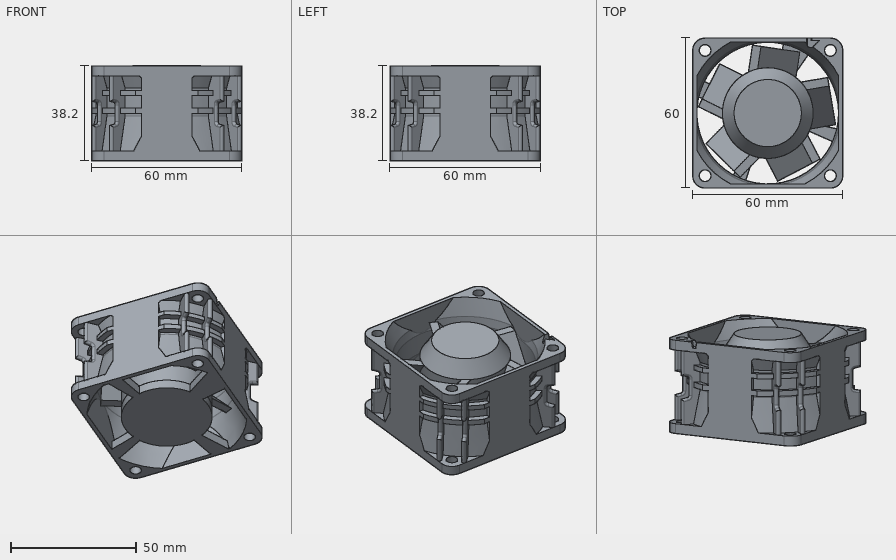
import cadquery as cq
import math

SIDE = 60.0
FRAME_HEIGHT = 38.0
CORNER_RADIUS = 5.0
FLANGE_THICKNESS = 4.0
BOLT_HOLE_DIAMETER = 4.55
HALF_SIDE = SIDE / 2
BOLT_OFFSET = HALF_SIDE - CORNER_RADIUS
LOWER_FLANGE_TOP = FLANGE_THICKNESS
UPPER_FLANGE_BOTTOM = FRAME_HEIGHT - FLANGE_THICKNESS

POCKET_START = 10.0
DUCT_RADIUS = 30.05
DUCT_LOWER_FLARE_START = 17.95
DUCT_UPPER_FLARE_START = 29.05
DUCT_LOWER_FLARE_RADIUS = 32.75
DUCT_UPPER_FLARE_RADIUS = 32.0
RING_RADIUS = 32.5
RINGS = [(18.9, 2.2), (26.05, 2.0)]

BORE_RADIUS = 28.25
INLET_RADIUS = 32.0
INLET_THROAT_RADIUS = 29.05
INLET_THROAT_HEIGHT = 30.7
BORE_TOP = 27.0
BORE_BOTTOM = DUCT_LOWER_FLARE_START
BORE_HALF_WIDTH = 28.3

FIN_THICKNESS = 2.0
FIN_OFFSET = 5.0
FIN_ROOT = 29.2
FIN_EDGE_RADIUS = FIN_THICKNESS / 2
FIN_TIP = (HALF_SIDE - FIN_EDGE_RADIUS) * math.sqrt(2) - FIN_OFFSET
NOTCH_DEPTH = 3.25
NOTCH_FLOOR_LENGTH = 6.65
NOTCH_RADIUS = FIN_EDGE_RADIUS
NOTCH_SLOPE = 12.0

SLOT_DEPTH = 2.4
SLOT_LEFT = 15.4
SLOT_RIGHT = 17.75
SLOT_TAPER = 0.5
SLOT_LIP = 0.95
SLOT_POCKET_WIDTH = 2.9

STRUT_THICKNESS = FLANGE_THICKNESS
STRUT_ANGLES = [(55.2, 77.2), (153.4, 167.2), (241.0, 252.0), (336.2, 347.2)]

HUB_TOP = 38.15
HUB_CAP_RADIUS = 13.45
HUB_RADIUS = 18.1
HUB_SHOULDER = 31.15
HUB_BOTTOM = STRUT_THICKNESS
BLADE_COUNT = 5
BLADE_FIRST_ANGLE = 9.5
BLADE_TIP = 26.0
BLADE_ROOT = 14.4
BLADE_TOP_BACK = 10.1
BLADE_BOTTOM_FRONT = -9.05
BLADE_WIDTH = 3.5
BLADE_BOTTOM = 12.3


def revolved(profile):
    """Solid of revolution about Z of a closed (radius, height) polygon."""
    return cq.Workplane("XZ").polyline(profile).close().revolve(360, (0, 0), (0, 1))


def square_prism(bottom, top):
    return (
        cq.Workplane("XY").workplane(offset=bottom).rect(SIDE, SIDE).extrude(top - bottom)
        .edges("|Z").fillet(CORNER_RADIUS)
    )


def duct_wall():
    return revolved([
        (0, LOWER_FLANGE_TOP),
        (DUCT_LOWER_FLARE_RADIUS, LOWER_FLANGE_TOP),
        (DUCT_RADIUS, DUCT_LOWER_FLARE_START),
        (DUCT_RADIUS, DUCT_UPPER_FLARE_START),
        (DUCT_UPPER_FLARE_RADIUS, UPPER_FLANGE_BOTTOM),
        (0, UPPER_FLANGE_BOTTOM),
    ])


def bore():
    flare = revolved([
        (0, 0),
        (INLET_RADIUS, 0),
        (BORE_RADIUS, BORE_BOTTOM),
        (BORE_RADIUS, BORE_TOP),
        (INLET_THROAT_RADIUS, INLET_THROAT_HEIGHT),
        (INLET_RADIUS, FRAME_HEIGHT),
        (0, FRAME_HEIGHT),
    ])
    limits = cq.Workplane("XY").box(2 * BORE_HALF_WIDTH, 2 * BORE_HALF_WIDTH, FRAME_HEIGHT,
                                    centered=(True, True, False))
    return flare.intersect(limits)


def corner_pockets():
    width = HALF_SIDE - POCKET_START
    centre = POCKET_START + width / 2
    return (
        cq.Workplane("XY").workplane(offset=LOWER_FLANGE_TOP)
        .rect(2 * centre, 2 * centre, forConstruction=True).vertices()
        .rect(width, width).extrude(UPPER_FLANGE_BOTTOM - LOWER_FLANGE_TOP)
        .cut(duct_wall())
    )


def rings():
    """Discs that leave ring ribs around the duct once the bore is cut."""
    block = square_prism(0, FRAME_HEIGHT)
    discs = []
    for bottom, thickness in RINGS:
        disc = cq.Workplane("XY").workplane(offset=bottom).circle(RING_RADIUS).extrude(thickness)
        discs.append(disc.intersect(block))
    return discs


def rounded_plate():
    """Plain fin in the XZ plane, reaching along +X to a fully rounded tip."""
    height = UPPER_FLANGE_BOTTOM - LOWER_FLANGE_TOP
    return (
        cq.Workplane("XY").workplane(offset=LOWER_FLANGE_TOP)
        .moveTo(FIN_ROOT, -FIN_EDGE_RADIUS).lineTo(FIN_TIP, -FIN_EDGE_RADIUS)
        .threePointArc((FIN_TIP + FIN_EDGE_RADIUS, 0), (FIN_TIP, FIN_EDGE_RADIUS))
        .lineTo(FIN_ROOT, FIN_EDGE_RADIUS).close().extrude(height)
    )


def notched_plate():
    """Plate in the XZ plane, longer than the fin, with a fully rounded edge all along its notch."""
    bend = NOTCH_RADIUS + FIN_EDGE_RADIUS
    slope = math.radians(NOTCH_SLOPE)
    floor = FIN_TIP - NOTCH_DEPTH
    end = FIN_TIP + NOTCH_DEPTH
    half_floor = NOTCH_FLOOR_LENGTH / 2
    middle = FRAME_HEIGHT / 2

    def bend_point(turn):
        """Distance from Z and from mid-height after turning off the floor by this angle."""
        return floor + bend * (1 - math.cos(turn)), half_floor + bend * math.sin(turn)

    full_turn = math.pi / 2 - slope
    bend_middle, bend_middle_rise = bend_point(full_turn / 2)
    bend_end, bend_end_rise = bend_point(full_turn)
    end_rise = bend_end_rise + (end - bend_end) * math.tan(slope)

    def along_notch(start):
        """Continue a path along the axis of the round edge, from its lower outer end to its upper one."""
        return (
            start.lineTo(bend_end, middle - bend_end_rise)
            .threePointArc((bend_middle, middle - bend_middle_rise), (floor, middle - half_floor))
            .lineTo(floor, middle + half_floor)
            .threePointArc((bend_middle, middle + bend_middle_rise), (bend_end, middle + bend_end_rise))
            .lineTo(end, middle + end_rise)
        )

    plate = (
        along_notch(cq.Workplane("XZ").moveTo(end, middle - end_rise))
        .lineTo(end, UPPER_FLANGE_BOTTOM).lineTo(FIN_ROOT, UPPER_FLANGE_BOTTOM)
        .lineTo(FIN_ROOT, LOWER_FLANGE_TOP).lineTo(end, LOWER_FLANGE_TOP)
        .close().extrude(FIN_EDGE_RADIUS, both=True)
    )
    round_edge = (
        cq.Workplane(cq.Plane((end, 0, middle - end_rise), (0, 1, 0), (-math.cos(slope), 0, math.sin(slope))))
        .circle(FIN_EDGE_RADIUS)
        .sweep(along_notch(cq.Workplane("XZ").moveTo(end, middle - end_rise)))
    )
    return plate.union(round_edge)


def corner_fins():
    """A pair of fins at each corner, parallel to its diagonal."""
    fin = rounded_plate().intersect(notched_plate())
    fins = []
    for corner in range(4):
        for side in (-1, 1):
            shifted = fin.translate((0, side * FIN_OFFSET, 0))
            fins.append(shifted.rotate((0, 0, 0), (0, 0, 1), 45 + 90 * corner))
    return fins


def cable_slot():
    """Tapered slot through the +Y wall with a pocket behind its lip that narrows inward at 45 degrees."""
    floor = FRAME_HEIGHT - SLOT_DEPTH
    lip = HALF_SIDE - SLOT_LIP
    inside = lip - SLOT_POCKET_WIDTH
    floor_right = SLOT_RIGHT - SLOT_TAPER
    slot = (
        cq.Workplane("XZ", origin=(0, HALF_SIDE, 0))
        .polyline([(SLOT_LEFT, FRAME_HEIGHT), (SLOT_RIGHT, FRAME_HEIGHT),
                   (floor_right, floor), (SLOT_LEFT + SLOT_TAPER, floor)])
        .close().extrude(HALF_SIDE - inside)
    )
    pocket = (
        cq.Workplane("XY").workplane(offset=floor)
        .polyline([(floor_right, lip), (SLOT_RIGHT + SLOT_POCKET_WIDTH, lip),
                   (SLOT_RIGHT, inside), (floor_right, inside)])
        .close().extrude(SLOT_DEPTH)
    )
    return slot.union(pocket)


def strut(start_angle, end_angle):
    """Flat wedge between two radial edges, longer than the frame."""
    corners = [(SIDE * math.cos(math.radians(angle)), SIDE * math.sin(math.radians(angle)))
               for angle in (start_angle, end_angle)]
    return cq.Workplane("XY").polyline([(0, 0)] + corners).close().extrude(STRUT_THICKNESS)


def motor_mount():
    """Round motor base and its struts, which end inside the lower flange."""
    mount = cq.Workplane("XY").circle(HUB_RADIUS).extrude(STRUT_THICKNESS)
    for start_angle, end_angle in STRUT_ANGLES:
        mount = mount.union(strut(start_angle, end_angle))
    return mount.intersect(square_prism(0, STRUT_THICKNESS))


def bolt_holes():
    return (
        cq.Workplane("XY").rect(2 * BOLT_OFFSET, 2 * BOLT_OFFSET, forConstruction=True).vertices()
        .circle(BOLT_HOLE_DIAMETER / 2).extrude(FRAME_HEIGHT)
    )


def make_housing():
    body = square_prism(0, FRAME_HEIGHT).cut(corner_pockets())
    for rib in rings() + corner_fins():
        body = body.union(rib)
    return body.cut(bore()).cut(cable_slot()).cut(bolt_holes()).union(motor_mount())


def fan_blade():
    """Slanted blade reaching along +X, a parallelogram in section."""
    return (
        cq.Workplane("YZ", origin=(BLADE_ROOT, 0, 0))
        .polyline([(BLADE_TOP_BACK, HUB_SHOULDER), (BLADE_TOP_BACK - BLADE_WIDTH, HUB_SHOULDER),
                   (BLADE_BOTTOM_FRONT, BLADE_BOTTOM), (BLADE_BOTTOM_FRONT + BLADE_WIDTH, BLADE_BOTTOM)])
        .close().extrude(BLADE_TIP - BLADE_ROOT)
    )


def make_rotor():
    rotor = revolved([
        (0, HUB_BOTTOM),
        (HUB_RADIUS, HUB_BOTTOM),
        (HUB_RADIUS, HUB_SHOULDER),
        (HUB_CAP_RADIUS, HUB_TOP),
        (0, HUB_TOP),
    ])
    blade = fan_blade()
    for number in range(BLADE_COUNT):
        angle = BLADE_FIRST_ANGLE + number * 360 / BLADE_COUNT
        rotor = rotor.union(blade.rotate((0, 0, 0), (0, 0, 1), angle))
    return rotor


housing = make_housing()
rotor = make_rotor()
result = cq.Compound.makeCompound([housing.val(), rotor.val()])